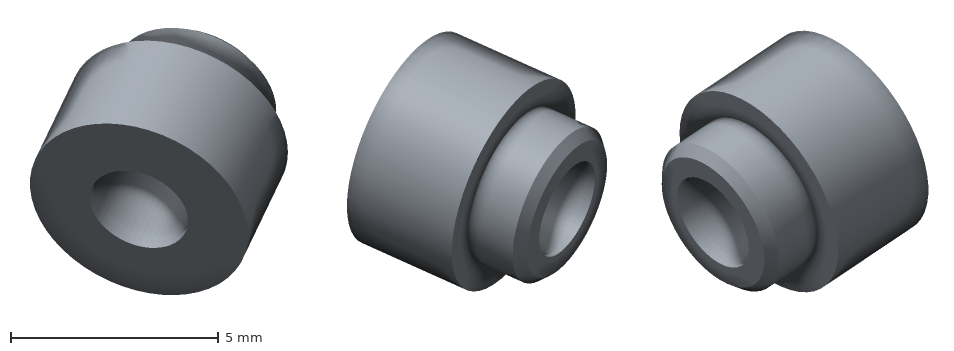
import cadquery as cq

body_diameter = 5.56
body_length = 3.0
total_length = 4.53
spigot_diameter = 4.1
spigot_chamfer = 0.25
bore_diameter = 2.5

spigot_length = total_length - body_length


def cylinder_along_y(diameter, length, start_y=0.0):
    """Solid cylinder on the Y axis, running toward +Y from start_y."""
    return cq.Workplane("XZ", origin=(0, start_y, 0)).circle(diameter / 2).extrude(-length)


body = cylinder_along_y(body_diameter, body_length)

spigot = cylinder_along_y(spigot_diameter, spigot_length, body_length)
spigot = spigot.faces(">Y").chamfer(spigot_chamfer)

bore = cylinder_along_y(bore_diameter, total_length)

result = body.union(spigot).cut(bore)